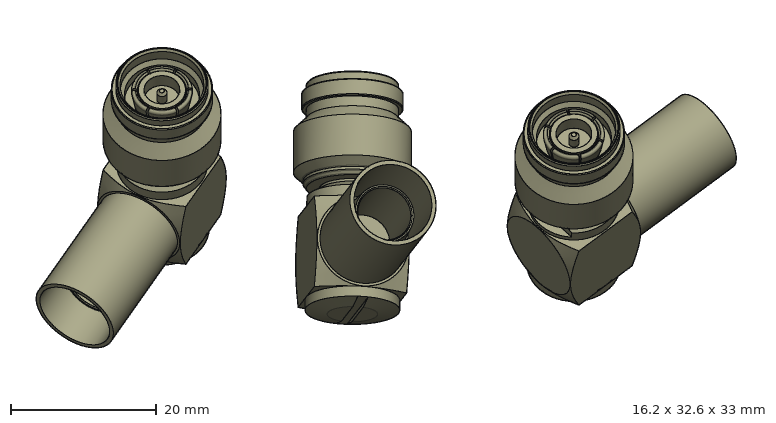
import cadquery as cq
import math


block_size = 13.0
block_half = block_size / 2
block_face_radius = 6.45
bevel_angle = 30

cap_bottom = -8.5
cap_edge = -7.95
cap_bottom_radius = 3.45
cap_slot_width = 1.45

neck_radius = 6.27
neck_edge = 8.2
stem_radius = 4.52
stem_edge = 9.2
neck_flat_floor = 7.2
neck_flat_distance = 4.42

nut_diameter = 16.2
nut_radius = nut_diameter / 2
nut_bottom = 9.57
nut_foot_radius = 6.3
nut_foot_break = 0.13
nut_lip_radius = 6.8
nut_lip_bottom = 10.2
nut_lip_top = 10.72
nut_lip_taper = 0.13
nut_lower_edge = 11.8
nut_upper_edge = 17.7
barrel_radius = 6.35
barrel_base = nut_upper_edge + nut_radius - barrel_radius
total_height = 33
barrel_top = cap_bottom + total_height
barrel_chamfer = 0.15
ring_radius = 6.95
ring_bottom = 20.85
ring_top = 23.2
ring_chamfer = 0.13

mouth_radius = 6.05
socket_radius = 5.75
socket_shoulder = 22.55
socket_floor_radius = 5.15
socket_floor = 20.45

finger_base_radius = 3.83
finger_bead_radius = 4.2
finger_bead_round = 0.43
finger_inner_radius = 3.35
finger_inner_chamfer = 0.25
finger_top = 23.2
finger_count = 6
finger_slot_width = 0.3
insulator_radius = 3.25
insulator_top = 23.07
insulator_bore_radius = 2.45
insulator_floor = 20.82
pin_radius = 0.7
pin_tip_radius = 0.33
pin_shoulder = 22.4
pin_top = 22.8

total_depth = 32.6
sleeve_radius = 6.07
sleeve_bore_radius = 5.48
sleeve_end = total_depth - nut_radius
sleeve_floor = 10.0
ferrule_base_radius = 4.8
ferrule_tip_radius = 4.12
ferrule_bore_radius = 3.73
ferrule_bore_chamfer = 0.15
ferrule_end = 19.45
ferrule_floor = block_half


def turned(profile):
    """Revolve (radius, height) points about the Z axis."""
    return cq.Workplane("XZ").polyline(profile).close().revolve(360, (0, 0), (0, 1))


def cylinder(radius, start, end):
    return cq.Workplane("XY").workplane(offset=start).circle(radius).extrude(end - start)


def toward_cable(body):
    """Lay a body turned about +Z down along -Y."""
    return body.rotate((0, 0, 0), (1, 0, 0), 90)


def make_block():
    corner_radius = block_half * math.sqrt(2) + 0.33
    bevel = (corner_radius - block_face_radius) * math.tan(math.radians(bevel_angle))
    envelope = turned([
        (0, -block_half), (block_face_radius, -block_half), (corner_radius, bevel - block_half),
        (corner_radius, block_half - bevel), (block_face_radius, block_half), (0, block_half),
    ])
    return cq.Workplane("XY").box(block_size, block_size, block_size).intersect(toward_cable(envelope))


def make_cap():
    cap = turned([
        (0, -block_half), (block_half, -block_half), (block_half, cap_edge),
        (cap_bottom_radius, cap_bottom), (0, cap_bottom),
    ])
    slot = cq.Workplane("XY").box(cap_slot_width, block_size, cap_edge - cap_bottom, (True, True, False))
    return cap.cut(slot.translate((0, 0, cap_bottom)))


def make_neck():
    neck = turned([
        (0, block_half), (neck_radius, block_half), (neck_radius, neck_edge),
        (stem_radius, stem_edge), (stem_radius, nut_bottom), (0, nut_bottom),
    ])
    flat = cq.Workplane("XY").box(block_size, neck_radius, nut_bottom - neck_flat_floor, (True, False, False))
    return neck.cut(flat.translate((0, neck_flat_distance, neck_flat_floor)))


def make_nut():
    nut = turned([
        (0, nut_bottom), (nut_foot_radius, nut_bottom),
        (nut_foot_radius + nut_foot_break, nut_bottom + nut_foot_break),
        (nut_lip_radius - nut_foot_break, nut_lip_bottom - nut_foot_break),
        (nut_lip_radius, nut_lip_bottom), (nut_lip_radius, nut_lip_top - nut_lip_taper),
        (nut_lip_radius + nut_lip_taper, nut_lip_top), (nut_radius, nut_lower_edge),
        (nut_radius, nut_upper_edge), (barrel_radius, barrel_base),
        (barrel_radius, barrel_top), (0, barrel_top),
    ])
    nut = nut.faces(">Z").chamfer(barrel_chamfer)
    ring = cylinder(ring_radius, ring_bottom, ring_top).faces("<Z or >Z").chamfer(ring_chamfer)
    socket = turned([
        (0, socket_floor), (socket_floor_radius, socket_floor),
        (socket_floor_radius, socket_shoulder - (socket_radius - socket_floor_radius)),
        (socket_radius, socket_shoulder), (socket_radius, barrel_top - mouth_radius + socket_radius),
        (mouth_radius, barrel_top), (0, barrel_top),
    ])
    return nut.union(ring).cut(socket)


def make_fingers():
    round_center_radius = finger_bead_radius - finger_bead_round
    round_center_height = finger_top - finger_bead_round
    round_diagonal = finger_bead_round * math.sqrt(0.5)
    fingers = (
        cq.Workplane("XZ")
        .moveTo(finger_inner_radius, socket_floor)
        .lineTo(finger_base_radius, socket_floor)
        .lineTo(finger_bead_radius, round_center_height)
        .threePointArc(
            (round_center_radius + round_diagonal, round_center_height + round_diagonal),
            (round_center_radius, finger_top),
        )
        .lineTo(finger_inner_radius + finger_inner_chamfer, finger_top)
        .lineTo(finger_inner_radius, finger_top - finger_inner_chamfer)
        .close()
        .revolve(360, (0, 0), (0, 1))
    )
    slot = cq.Workplane("XY").box(
        finger_slot_width, finger_bead_radius, finger_top - socket_floor, (True, False, False)
    ).translate((0, 0, socket_floor))
    for index in range(finger_count):
        fingers = fingers.cut(slot.rotate((0, 0, 0), (0, 0, 1), index * 360 / finger_count))
    return fingers


def make_insulator_and_pin():
    insulator = cylinder(insulator_radius, socket_floor, insulator_top)
    insulator = insulator.cut(cylinder(insulator_bore_radius, insulator_floor, insulator_top))
    pin = turned([
        (0, socket_floor), (pin_radius, socket_floor), (pin_radius, pin_shoulder),
        (pin_tip_radius, pin_top), (0, pin_top),
    ])
    return insulator.union(pin)


def make_sleeve():
    sleeve = cylinder(sleeve_radius, block_half, sleeve_end)
    return toward_cable(sleeve.cut(cylinder(sleeve_bore_radius, sleeve_floor, sleeve_end)))


def make_ferrule():
    return toward_cable(turned([
        (ferrule_bore_radius, sleeve_floor), (ferrule_base_radius, sleeve_floor),
        (ferrule_tip_radius, ferrule_end), (ferrule_bore_radius + ferrule_bore_chamfer, ferrule_end),
        (ferrule_bore_radius, ferrule_end - ferrule_bore_chamfer),
    ]))


result = make_block()
for body in (make_cap(), make_neck(), make_nut(), make_fingers(),
             make_insulator_and_pin(), make_sleeve(), make_ferrule()):
    result = result.union(body)
result = result.cut(toward_cable(cylinder(ferrule_bore_radius, ferrule_floor, sleeve_floor)))